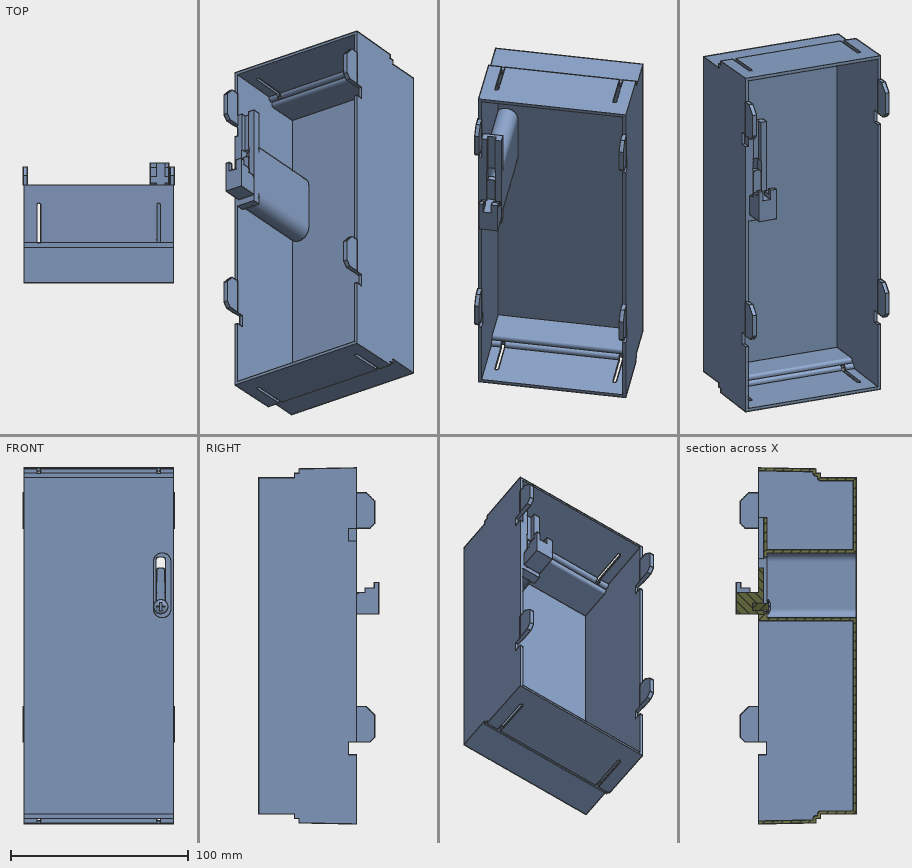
import cadquery as cq
import math

height = 200.3
width = 84.1
depth = 55.0
wall = 1.8
rear_half_height = height / 2
lip_half_height = 99.5
ledge_half_height = 97.1
front_half_height = 94.5
lip_y = -32.5
ledge_y = -35.0

cable_slot_width = 2.0
cable_slot_x = 33.7
cable_slot_end_y = -10.2

hook_thickness = 2.5
hook_overhang = 0.5
hook_reach = 10.2
hook_height = 20.0
hook_upper_chamfer = 4.8
hook_lower_chamfer = 2.8
upper_hook_bottom = 66.0
hook_pitch = 120.2
hook_bottoms = [upper_hook_bottom, upper_hook_bottom - hook_pitch]
notch_height = 7.0
notch_depth = 4.6

recess_x = 35.7
recess_width = 9.8
recess_top = 52.3
recess_bottom = 15.8
guide_depth = 5.0
guide_top = 72.1
channel_depth = 3.0
screw_slot_width = 5.2
screw_slot_corner_radius = 1.6
screw_slot_top = 49.9

clip_x = 34.9
clip_left = 28.8
clip_right = 39.5
clip_bottom = 17.8
clip_reach = 12.5
clip_top = 35.7
clip_step_y = 9.8
clip_step_z = 32.6
clip_shelf_y = 4.6
clip_shelf_z = 30.0
clip_chamfer = 1.2
tongue_width = 4.6
tongue_top = 43.9
tongue_corner_radius = 1.6

screw_z = 22.0
head_diameter = 8.0
head_height = 2.0
head_rim = 0.8
shank_diameter = 4.0
shank_length = 8.0
drive_length = 4.8
drive_wide = 1.5
drive_narrow = 0.6
drive_depth = 1.2

floor_y = -guide_depth
screw_slot_bottom = screw_z - screw_slot_width / 2


def box(x_range, y_range, z_range):
    """Axis-aligned box between the given pairs of limits."""
    limits = (x_range, y_range, z_range)
    size = [high - low for low, high in limits]
    corner = cq.Vector(*[low for low, high in limits])
    return cq.Workplane(cq.Solid.makeBox(*size, corner))


def upright_slot(x, slot_width, bottom, top, front_y, rear_y):
    """Round-ended bar, long in Z, running from front_y back to rear_y."""
    plane = cq.Workplane("XZ", origin=(x, rear_y, (bottom + top) / 2))
    return plane.slot2D(top - bottom, slot_width, 90).extrude(rear_y - front_y)


def side_profile_prism(points, left, right):
    """Prism along X whose section is given as (y, z) points."""
    return cq.Workplane("YZ", origin=(left, 0, 0)).polyline(points).close().extrude(right - left)


def make_shell():
    """Thin-walled box with stepped top and bottom, symmetric about z = 0."""
    upper = [
        (0, rear_half_height),
        (lip_y, lip_half_height),
        (lip_y, ledge_half_height),
        (ledge_y, ledge_half_height),
        (ledge_y, front_half_height),
        (-depth, front_half_height),
    ]
    lower = [(y, -z) for y, z in reversed(upper)]
    block = side_profile_prism(upper + lower, -width / 2, width / 2)
    return block.faces(">Y").shell(-wall)


def cut_cable_slots(body):
    """Slots from the front lip backwards, with a round rear end, two in each of top and bottom."""
    half = cable_slot_width / 2
    for x in (-cable_slot_x, cable_slot_x):
        for side in (-1, 1):
            z_range = sorted((side * (ledge_half_height - wall), side * rear_half_height))
            straight = box((x - half, x + half), (lip_y, cable_slot_end_y - half), z_range)
            end = (
                cq.Workplane("XY", origin=(x, cable_slot_end_y - half, z_range[0]))
                .circle(half)
                .extrude(z_range[1] - z_range[0])
            )
            body = body.cut(straight).cut(end)
    return body


def make_hook(bottom, side):
    top = bottom + hook_height
    points = [
        (0, bottom),
        (hook_reach - hook_lower_chamfer, bottom),
        (hook_reach, bottom + hook_lower_chamfer),
        (hook_reach, top - hook_upper_chamfer),
        (hook_reach - hook_upper_chamfer, top),
        (0, top),
    ]
    outer = side * (width / 2 + hook_overhang)
    left, right = sorted((outer, outer - side * hook_thickness))
    return side_profile_prism(points, left, right)


def add_hooks_and_notches(body):
    """Hooks on the rear edges of both side walls, with a notch through the wall under each hook."""
    for bottom in hook_bottoms:
        for side in (-1, 1):
            x_range = sorted((side * width / 2, side * (width / 2 - wall)))
            body = body.cut(box(x_range, (-notch_depth, 0), (bottom - notch_height, bottom)))
            body = body.union(make_hook(bottom, side))
    return body


def add_screw_recess(body):
    """Walled recess from the front face, ending in a slotted floor with the tongue channel behind."""
    tube = upright_slot(
        recess_x, recess_width + 2 * wall, recess_bottom - wall, recess_top + wall, -depth, -channel_depth
    )
    half_width = recess_width / 2 + wall
    guide = box(
        (recess_x - half_width, recess_x + half_width), (floor_y, 0), (recess_bottom - wall, guide_top)
    )
    inside = box((-width / 2, width / 2), (-depth, 0), (-rear_half_height, rear_half_height))
    body = body.union(tube.union(guide).intersect(inside))
    body = body.cut(upright_slot(recess_x, recess_width, recess_bottom, recess_top, -depth, floor_y))
    half_slot = screw_slot_width / 2
    screw_slot = box(
        (clip_x - half_slot, clip_x + half_slot), (floor_y, 0), (screw_slot_bottom, screw_slot_top)
    )
    body = body.cut(screw_slot.edges("|Y").fillet(screw_slot_corner_radius))
    half_tongue = tongue_width / 2
    return body.cut(
        box((clip_x - half_tongue, clip_x + half_tongue), (-channel_depth, 0), (clip_bottom, guide_top))
    )


def make_housing():
    body = make_shell()
    body = add_screw_recess(body)
    body = cut_cable_slots(body)
    return add_hooks_and_notches(body)


def make_screw():
    """Screw along Y: domed head in front of the recess floor, shank running back into the clip."""
    head_radius = head_diameter / 2
    shank_radius = shank_diameter / 2
    dome_height = head_height - head_rim
    dome_radius = (head_radius**2 + dome_height**2) / (2 * dome_height)
    half_angle = math.asin(head_radius / dome_radius) / 2
    dome_middle = (
        dome_radius * math.sin(half_angle),
        -head_height + dome_radius * (1 - math.cos(half_angle)),
    )
    section = (
        cq.Workplane("XY")
        .moveTo(0, shank_length)
        .lineTo(shank_radius, shank_length)
        .lineTo(shank_radius, 0)
        .lineTo(head_radius, 0)
        .lineTo(head_radius, -head_rim)
        .threePointArc(dome_middle, (0, -head_height))
        .close()
    )
    screw = section.revolve(360, (0, 0, 0), (0, 1, 0))
    drive_y = (-head_height, drive_depth - head_height)
    half_length = drive_length / 2
    half_wide = drive_wide / 2
    half_narrow = drive_narrow / 2
    upright_drive = box((-half_wide, half_wide), drive_y, (-half_length, half_length))
    level_drive = box((-half_length, half_length), drive_y, (-half_narrow, half_narrow))
    screw = screw.cut(upright_drive).cut(level_drive)
    return screw.translate((clip_x, floor_y, screw_z))


def make_clip():
    """Stepped rail block behind the housing, with a tongue that slides in the channel."""
    points = [
        (0, clip_bottom),
        (clip_reach, clip_bottom),
        (clip_reach, clip_top),
        (clip_step_y, clip_top),
        (clip_step_y, clip_step_z),
        (clip_shelf_y, clip_step_z),
        (clip_shelf_y, clip_shelf_z),
        (clip_chamfer, clip_shelf_z),
        (0, clip_shelf_z - clip_chamfer),
    ]
    clip = side_profile_prism(points, clip_left, clip_right)
    tongue_x = (clip_x - tongue_width / 2, clip_x + tongue_width / 2)
    clip = clip.cut(box(tongue_x, (clip_shelf_y, clip_reach), (clip_shelf_z, clip_top)))
    clip = clip.union(box(tongue_x, (-channel_depth, clip_chamfer), (clip_bottom, clip_shelf_z)))
    tongue = box(tongue_x, (-channel_depth, 0), (clip_bottom, tongue_top))
    tongue = tongue.edges("|Y and >Z").fillet(tongue_corner_radius)
    screw_hole = (
        cq.Workplane("XZ", origin=(clip_x, floor_y + shank_length, screw_z))
        .circle(shank_diameter / 2)
        .extrude(shank_length)
    )
    return clip.union(tongue).cut(screw_hole)


housing = make_housing()
screw = make_screw()
clip = make_clip()
result = cq.Compound.makeCompound([housing.val(), clip.val(), screw.val()])